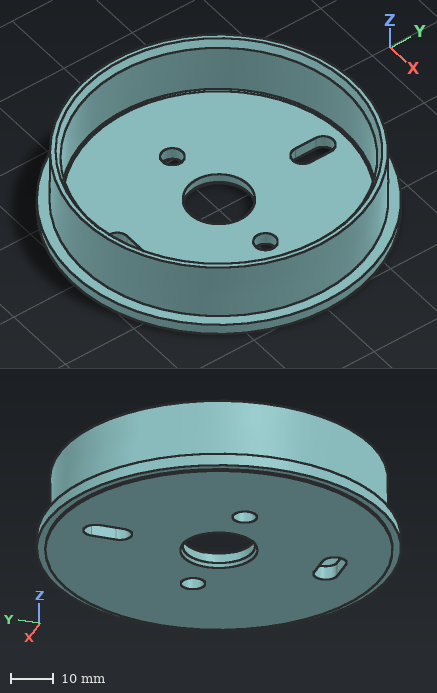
import cadquery as cq
import math

FLANGE_RADIUS = 42.5
FLANGE_TOP = 3.5
TOTAL_HEIGHT = 19.0
FOOT_RADIUS = 40.5
FOOT_HEIGHT = 0.5

FLOOR_TOP = FLANGE_TOP
DRAFT_ANGLE = 0.5
WALL_BASE_RADIUS = 39.55
MOUTH_RADIUS = 38.1
LEAD_IN_DEPTH = 2.0
LEAD_IN_ANGLE = 30.0
FLOOR_CHAMFER = 0.4

CENTRE_HOLE_DIAMETER = 16.8
COUNTERSINK_DEPTH = 1.0
COUNTERSINK_ANGLE = 30.0
SIDE_HOLE_DIAMETER = 5.7
SIDE_HOLE_OFFSET = 18.0
SLOT_LENGTH = 11.7
SLOT_WIDTH = 5.7
SLOT_OFFSET = 27.5


def run_out(height, angle):
    """Sideways travel of a face leaning by angle degrees from vertical."""
    return height * math.tan(math.radians(angle))


def make_body():
    """Flanged cup: half of its cross-section revolved about Z."""
    lead_in_base = TOTAL_HEIGHT - LEAD_IN_DEPTH
    bore_base = FLOOR_TOP + FLOOR_CHAMFER
    wall_top_radius = WALL_BASE_RADIUS - run_out(TOTAL_HEIGHT - FLANGE_TOP, DRAFT_ANGLE)
    bore_top_radius = MOUTH_RADIUS - run_out(LEAD_IN_DEPTH, LEAD_IN_ANGLE)
    bore_base_radius = bore_top_radius - run_out(lead_in_base - bore_base, DRAFT_ANGLE)
    profile = [
        (0, 0),
        (FOOT_RADIUS, 0),
        (FOOT_RADIUS, FOOT_HEIGHT),
        (FLANGE_RADIUS, FOOT_HEIGHT),
        (FLANGE_RADIUS, FLANGE_TOP),
        (WALL_BASE_RADIUS, FLANGE_TOP),
        (wall_top_radius, TOTAL_HEIGHT),
        (MOUTH_RADIUS, TOTAL_HEIGHT),
        (bore_top_radius, lead_in_base),
        (bore_base_radius, bore_base),
        (bore_base_radius - FLOOR_CHAMFER, FLOOR_TOP),
        (0, FLOOR_TOP),
    ]
    return cq.Workplane("XZ").polyline(profile).close().revolve(360, (0, 0, 0), (0, 1, 0))


def cut_centre_hole(body):
    """Central opening, flared at the underside."""
    radius = CENTRE_HOLE_DIAMETER / 2
    flare_radius = radius + run_out(COUNTERSINK_DEPTH, COUNTERSINK_ANGLE)
    hole = cq.Workplane("XY").circle(radius).extrude(FLOOR_TOP)
    flare = cq.Solid.makeCone(flare_radius, radius, COUNTERSINK_DEPTH)
    return body.cut(hole).cut(cq.Workplane(flare))


def cut_side_holes(body):
    """Pair of small holes along X."""
    centres = [(-SIDE_HOLE_OFFSET, 0), (SIDE_HOLE_OFFSET, 0)]
    holes = cq.Workplane("XY").pushPoints(centres).circle(SIDE_HOLE_DIAMETER / 2).extrude(FLOOR_TOP)
    return body.cut(holes)


def cut_slots(body):
    """Radial slot on the +Y side and crosswise slot on the -Y side."""
    for y_position, angle in [(SLOT_OFFSET, 90), (-SLOT_OFFSET, 0)]:
        slot = (
            cq.Workplane("XY")
            .center(0, y_position)
            .slot2D(SLOT_LENGTH, SLOT_WIDTH, angle)
            .extrude(FLOOR_TOP)
        )
        body = body.cut(slot)
    return body


result = make_body()
result = cut_centre_hole(result)
result = cut_side_holes(result)
result = cut_slots(result)